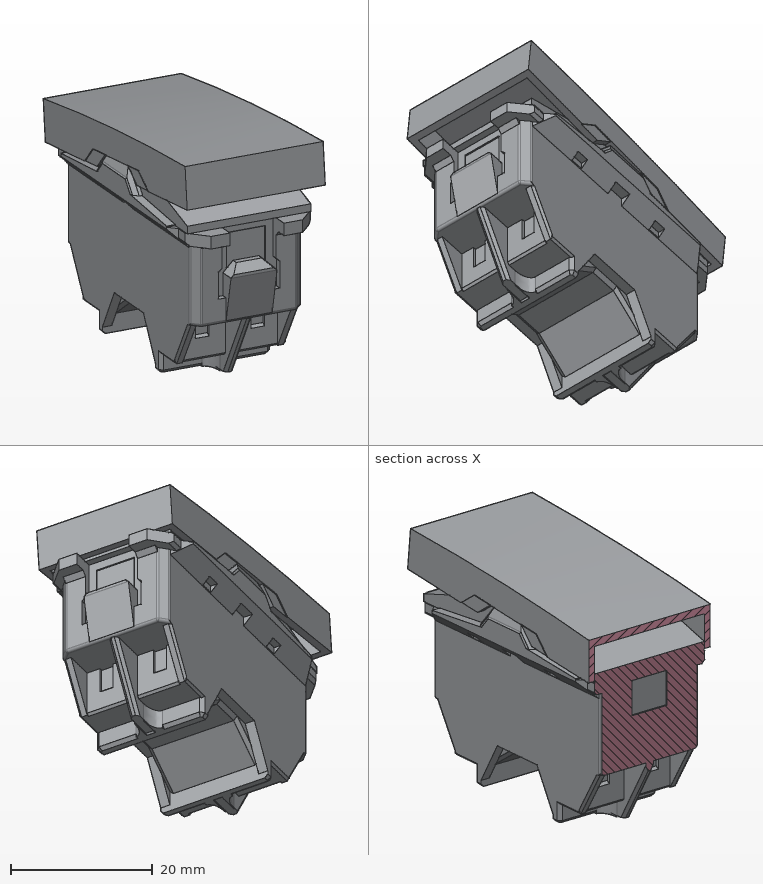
import cadquery as cq


ROCKER_LENGTH = 44.06
ROCKER_WIDTH = 21.9
ROCKER_HEIGHT = 6.4
ROCKER_CROWN = 0.55
ROCKER_TILT = 5.88
ROCKER_LOW_END_X = -21.63
ROCKER_WALL = 1.15
ROCKER_ROOF = 1.2
NOTCH_HEIGHT = 2.4
NOTCH_WIDTH = 12.4
NOTCH_SIDE_RUN = 2.75
RECESS_WIDTH = 19.65
RECESS_DEPTH = 0.15

FLANGE_LENGTH = 44.8
FLANGE_WIDTH = 22.4
FLANGE_THICKNESS = 1.9
FLANGE_END_WIDTH = 14.5
SHOULDER_OUTER_X = 19.55
SHOULDER_INNER_X = 17.6
SHOULDER_WIDTH = 19.88
SKIRT_LENGTH = 32.6
SKIRT_BASE_LENGTH = 37.2
SKIRT_LIP = 0.3
SHOULDER_BEVEL = 0.5
END_SKIRT_REACH = 0.7

BODY_LENGTH = 40.0
BODY_WIDTH = 17.6
BODY_CORNER = 1.25
BODY_ROUND = 0.45
BODY_FLOOR_Z = -14.5

SIDE_NOTCHES = [(-8.7, 2.1, -1.5, 0.1), (0, 3.1, -1.24, 0), (8.7, 2.1, -1.5, 0.1)]

BLOCK_WIDTH = ROCKER_WIDTH - 2 * ROCKER_WALL
BLOCK_END_Z = 1.16
BLOCK_TOP_Z = 4.9
BLOCK_SLOPE = 0.286
RAMP_LOW_Z = 0.17
HUMP_BASE_Z = 1.17
HUMP_FRONT_Z = 2.95
HUMP_FRONT_BASE = 5.08
HUMP_FRONT_TOP = 3.53
HUMP_BEVEL_Z = 3.2
HUMP_BEVEL_GROWTH = 0.45
HUMP_BEVEL_DEPTH = 0.15
HUMP_BACK_Z = 5.0
HUMP_GROWTH = 1.15
HUMP_DEPTH = 0.85

SLOT_WIDTH = 8.56
SLOT_WIDE_WIDTH = 9.7
SLOT_DEPTH = 1.0
SLOT_WIDEN_TOP_Z = -6.1
SLOT_WIDEN_Z = -6.65
SLOT_FLOOR_Z = -10.7
WINDOW_WIDTH = 6.16
WINDOW_TOP_Z = -1.33
WINDOW_FLOOR_Z = -6.6
WINDOW_DEPTH = 0.2
LATCH_WIDTH = 7.3
LATCH_REACH = 1.5
LATCH_NOSE_Z = -6.8
LATCH_EDGE_Z = -7.25
LATCH_FLOOR_Z = -14.15
LATCH_ROOT_Z = {-1: -6.4, 1: -5.65}

CORE_HALF_LENGTH = 14.1
CORE_FLOOR_Z = -21.8
FOOT_FLOOR_Z = -24.79
FOOT_OUTER_X = 9.65
FOOT_INNER_X = 8.2
FOOT_CORNER = 0.55
FOOT_CHAMFER = 0.5
FIN_THICKNESS = 1.25
FIN_TOP_X = 18.5
LOWER_CHAMFER = 0.35
RIB_THICKNESS = 1.44
RIB_TOP_X = 19.75
RIB_FLOOR_X = 13.9
RIB_FLOOR_Z = -24.55
RIB_CHAMFER = 0.45
RIB_FLARE_LENGTH = 2.8
RIB_FLARE_WIDTH = 1.45
POCKET_SLOT_Y = 4.4
POCKET_SLOT_WIDTH = 2.12
POCKET_SLOT_DEPTH = 0.5
POCKET_SLOT_FLOOR_Z = -18.5
POCKET_SLOT_RISE = 0.35

WALL_ARCH_TOP_Z = -17.3
WALL_ARCH_HALF_TOP = 4.5
WALL_ARCH_SHOULDER_Z = -23.75
WALL_THICKNESS = 1.5
INNER_ARCH_TOP_Z = -17.9
INNER_ARCH_HALF_TOP = 2.3
INNER_ARCH_SHOULDER_Z = -22.0
INNER_ARCH_BEVEL = WALL_ARCH_TOP_Z - INNER_ARCH_TOP_Z

SIDES = (-1, 1)


def prism_y(points, y_start, y_end):
    """Extrude an XZ outline from y_start to y_end."""
    return cq.Workplane("XZ", origin=(0, y_start, 0)).polyline(points).close().extrude(y_start - y_end)


def frustum_y(start_points, end_points, y_start, depth):
    """Ruled solid from one XZ outline to another, a given depth further along +Y."""
    return (
        cq.Workplane("XZ", origin=(0, y_start, 0))
        .polyline(start_points)
        .close()
        .workplane(offset=-depth)
        .polyline(end_points)
        .close()
        .loft(ruled=True)
    )


def block(x_start, x_end, width, z_start, z_end, y_centre=0):
    """Box between two X and two Z limits, centred across Y."""
    size = (abs(x_end - x_start), width, abs(z_end - z_start))
    centre = ((x_start + x_end) / 2, y_centre, (z_start + z_end) / 2)
    return cq.Workplane("XY").box(*size).translate(centre)


def mirrored_outline(right_points):
    """Close a symmetric outline from its right-hand points, listed from the top down."""
    return right_points + [(-across, up) for across, up in reversed(right_points)]


def both_sides(solid, plane):
    """The solid together with its mirror image."""
    return solid.union(solid.mirror(plane))



def crowned_slab(inset, width, bottom_z, top_z):
    """Slab with an arched top, inset equally from both ends of the rocker."""
    end = ROCKER_LENGTH - inset
    return (
        cq.Workplane("XZ", origin=(0, width / 2, 0))
        .moveTo(inset, bottom_z)
        .lineTo(end, bottom_z)
        .lineTo(end, top_z)
        .threePointArc((ROCKER_LENGTH / 2, top_z + ROCKER_CROWN), (inset, top_z))
        .close()
        .extrude(width)
    )


def notch_outline(width):
    """Trapezoid open at the lower edge of the rocker wall, halfway along the rocker."""
    start = (ROCKER_LENGTH - width) / 2
    end = start + width
    return [
        (start, 0),
        (start + NOTCH_SIDE_RUN, NOTCH_HEIGHT),
        (end - NOTCH_SIDE_RUN, NOTCH_HEIGHT),
        (end, 0),
    ]


def make_rocker():
    rocker = crowned_slab(0, ROCKER_WIDTH, 0, ROCKER_HEIGHT)
    rocker = rocker.cut(crowned_slab(ROCKER_WALL, BLOCK_WIDTH, 0, ROCKER_HEIGHT - ROCKER_ROOF))
    half_width = ROCKER_WIDTH / 2
    rocker = rocker.cut(prism_y(notch_outline(NOTCH_WIDTH), -half_width, half_width))
    for side in SIDES:
        recess = prism_y(notch_outline(RECESS_WIDTH), side * half_width, side * (half_width - RECESS_DEPTH))
        rocker = rocker.cut(recess)
    tilted = rocker.rotate((0, 0, 0), (0, 1, 0), -ROCKER_TILT)
    return tilted.translate((ROCKER_LOW_END_X, 0, 0))



def make_flange():
    """End tabs, 45 degree skirts along the long sides and short skirts at the ends."""
    end_x = FLANGE_LENGTH / 2
    quarter = [
        (SHOULDER_OUTER_X, SHOULDER_WIDTH / 2),
        (end_x, FLANGE_END_WIDTH / 2),
    ]
    right = quarter + [(x, -y) for x, y in reversed(quarter)]
    outline = right + [(-x, -y) for x, y in right]
    flange = cq.Workplane("XY").polyline(outline).close().extrude(-FLANGE_THICKNESS)
    flange = flange.faces("<Z").edges("|X").chamfer(SHOULDER_BEVEL)

    wide_y = FLANGE_WIDTH / 2
    wall_y = BODY_WIDTH / 2
    drop = SKIRT_LIP + wide_y - wall_y
    wedge = (
        cq.Workplane("YZ", origin=(-BODY_LENGTH / 2, 0, 0))
        .polyline([(0, 0), (wide_y, 0), (wide_y, -SKIRT_LIP), (wall_y, -drop), (0, -drop)])
        .close()
        .extrude(BODY_LENGTH)
    )
    skirt_x = SKIRT_LENGTH / 2
    base_x = SKIRT_BASE_LENGTH / 2
    plan = mirrored_outline([(skirt_x, wide_y), (base_x, wall_y), (base_x, 0)])
    skirt = wedge.intersect(cq.Workplane("XY").polyline(plan).close().extrude(-drop))
    flange = flange.union(both_sides(skirt, "XZ"))

    body_x = BODY_LENGTH / 2
    end_wedge = [
        (body_x, -FLANGE_THICKNESS),
        (body_x + END_SKIRT_REACH, -FLANGE_THICKNESS),
        (body_x, -FLANGE_THICKNESS - END_SKIRT_REACH),
        (SHOULDER_INNER_X, -FLANGE_THICKNESS - END_SKIRT_REACH),
        (SHOULDER_INNER_X, -FLANGE_THICKNESS),
    ]
    end_y = wall_y - BODY_CORNER
    return flange.union(both_sides(prism_y(end_wedge, -end_y, end_y), "YZ"))


def cut_side_notches(housing):
    """Notches in the long skirts, reaching back to the body wall or close to it."""
    skirt_depth = (FLANGE_WIDTH - BODY_WIDTH) / 2
    skirt_floor_z = -SKIRT_LIP - skirt_depth
    for x, width, top_z, standoff in SIDE_NOTCHES:
        depth = skirt_depth - standoff
        for side in SIDES:
            y = side * (FLANGE_WIDTH - depth) / 2
            housing = housing.cut(block(x - width / 2, x + width / 2, depth, skirt_floor_z, top_z, y))
    return housing


def make_inner_block():
    """Roof-shaped block that stands inside the rocker."""
    end_x = BODY_LENGTH / 2
    top_x = end_x - (BLOCK_TOP_Z - BLOCK_END_Z) / BLOCK_SLOPE
    outline = mirrored_outline([(top_x, BLOCK_TOP_Z), (end_x, BLOCK_END_Z), (end_x, 0)])
    return prism_y(outline, -BLOCK_WIDTH / 2, BLOCK_WIDTH / 2)


def hump_outline(growth, top_z):
    """Trapezoid with the hump's side slope, its base widened by growth at both ends."""
    side_run = (HUMP_FRONT_BASE - HUMP_FRONT_TOP) / (HUMP_FRONT_Z - HUMP_BASE_Z)
    base = HUMP_FRONT_BASE + growth
    top = base - side_run * (top_z - HUMP_BASE_Z)
    return mirrored_outline([(top, top_z), (base, HUMP_BASE_Z)])


def make_collars(rocker):
    """Low ramps and a bevelled hump on each long side; the humps fit the rocker notches."""
    outer_y = FLANGE_WIDTH / 2
    ramp = mirrored_outline([
        (HUMP_FRONT_BASE, HUMP_BASE_Z),
        (SKIRT_LENGTH / 2, RAMP_LOW_Z),
        (SKIRT_LENGTH / 2, 0),
    ])
    collar = prism_y(ramp, -outer_y, -BLOCK_WIDTH / 2)

    front = hump_outline(0, HUMP_FRONT_Z)
    middle = hump_outline(HUMP_BEVEL_GROWTH, HUMP_BEVEL_Z)
    back = hump_outline(HUMP_GROWTH, HUMP_BACK_Z)
    hump = frustum_y(front, middle, -outer_y, HUMP_BEVEL_DEPTH)
    hump = hump.union(frustum_y(middle, back, -outer_y + HUMP_BEVEL_DEPTH, HUMP_DEPTH - HUMP_BEVEL_DEPTH))
    hump = hump.union(prism_y(back, -outer_y + HUMP_DEPTH, -BLOCK_WIDTH / 2))
    return both_sides(collar.union(hump), "XZ").cut(rocker)


def make_end_slot():
    """Stepped recess in the -X end wall, with a shallow window in its floor."""
    floor_x = -BODY_LENGTH / 2 + SLOT_DEPTH
    half = SLOT_WIDTH / 2
    wide = SLOT_WIDE_WIDTH / 2
    right = [(half, 0), (half, SLOT_WIDEN_TOP_Z), (wide, SLOT_WIDEN_Z), (wide, SLOT_FLOOR_Z)]
    slot = (
        cq.Workplane("YZ", origin=(floor_x, 0, 0))
        .polyline(mirrored_outline(right))
        .close()
        .extrude(-FLANGE_LENGTH / 2 - floor_x)
    )
    window = block(floor_x, floor_x + WINDOW_DEPTH, WINDOW_WIDTH, WINDOW_FLOOR_Z, WINDOW_TOP_Z)
    return slot.union(window)


def make_latch(side):
    """Wedge-shaped snap latch with bevelled upper corners."""
    body_x = BODY_LENGTH / 2
    inner_x = body_x - SLOT_DEPTH
    nose_x = body_x + LATCH_REACH
    root_z = LATCH_ROOT_Z[side]
    outline = [
        (side * inner_x, root_z),
        (side * body_x, root_z),
        (side * nose_x, LATCH_NOSE_Z),
        (side * nose_x, LATCH_EDGE_Z),
        (side * body_x, LATCH_FLOOR_Z),
        (side * inner_x, LATCH_FLOOR_Z),
    ]
    latch = prism_y(outline, -LATCH_WIDTH / 2, LATCH_WIDTH / 2)
    half = LATCH_WIDTH / 2
    bevelled = mirrored_outline([
        (half - (root_z - LATCH_EDGE_Z), root_z),
        (half, LATCH_EDGE_Z),
        (half, LATCH_FLOOR_Z),
    ])
    envelope = cq.Workplane("YZ").polyline(bevelled).close().extrude(side * nose_x)
    return latch.intersect(envelope)


def make_underside():
    """Core with fins along the walls, a middle rib at each end and two feet."""
    wall_y = BODY_WIDTH / 2
    core = block(-CORE_HALF_LENGTH, CORE_HALF_LENGTH, BODY_WIDTH, CORE_FLOOR_Z, BODY_FLOOR_Z)
    core = core.faces("<Z").edges().chamfer(LOWER_CHAMFER)
    feet = block(-FOOT_OUTER_X, FOOT_OUTER_X, BODY_WIDTH, FOOT_FLOOR_Z, CORE_FLOOR_Z + LOWER_CHAMFER)
    feet = feet.edges("|Z").chamfer(FOOT_CORNER)
    feet = feet.faces("<Z").edges().chamfer(FOOT_CHAMFER)

    fin_outline = mirrored_outline([(FIN_TOP_X, BODY_FLOOR_Z), (CORE_HALF_LENGTH, CORE_FLOOR_Z)])
    fin = prism_y(fin_outline, -wall_y, -wall_y + FIN_THICKNESS)
    fin = fin.faces("<Y").edges("not(>Z)").chamfer(LOWER_CHAMFER)

    rib_outline = mirrored_outline([(RIB_TOP_X, BODY_FLOOR_Z), (RIB_FLOOR_X, RIB_FLOOR_Z)])
    rib = prism_y(rib_outline, -RIB_THICKNESS / 2, RIB_THICKNESS / 2)
    rib = rib.faces("<Y or >Y").edges("not(|X)").chamfer(RIB_CHAMFER)

    underside = core.union(feet).union(both_sides(fin, "XZ")).union(rib)
    return underside.union(make_rib_flares())


def make_rib_flares():
    """Webs with a concave elliptical face where each rib meets its foot."""
    size = (RIB_FLARE_LENGTH, RIB_FLARE_WIDTH)
    rib_y = RIB_THICKNESS / 2
    height = CORE_FLOOR_Z + LOWER_CHAMFER - FOOT_FLOOR_Z
    corner = cq.Workplane("XY", origin=(FOOT_OUTER_X, rib_y, FOOT_FLOOR_Z))
    web = corner.rect(*size, centered=False).extrude(height)
    web = web.union(web.translate((-FOOT_CHAMFER, 0, 0)))
    web = web.cut(corner.center(*size).ellipse(*size).extrude(height))
    return both_sides(both_sides(web, "XZ"), "YZ")


def make_pocket_slots():
    """Shallow slots with sloping floors in the end faces of the core."""
    face_x = CORE_HALF_LENGTH
    floor_x = face_x - POCKET_SLOT_DEPTH
    outline = [
        (floor_x, BODY_FLOOR_Z),
        (floor_x, POCKET_SLOT_FLOOR_Z + POCKET_SLOT_RISE),
        (face_x, POCKET_SLOT_FLOOR_Z),
        (face_x, BODY_FLOOR_Z),
    ]
    half = POCKET_SLOT_WIDTH / 2
    slot = prism_y(outline, POCKET_SLOT_Y - half, POCKET_SLOT_Y + half)
    return both_sides(both_sides(slot, "XZ"), "YZ")


def arch_outline(half_top, top_z, shoulder_z):
    """Trapezoidal opening between the feet, straight-sided below its shoulders."""
    return mirrored_outline([(half_top, top_z), (FOOT_INNER_X, shoulder_z), (FOOT_INNER_X, FOOT_FLOOR_Z)])


def make_arch():
    """Opening between the feet: a high arch in the outer walls, a lower bevelled one inside."""
    wall_y = BODY_WIDTH / 2
    inner_y = wall_y - WALL_THICKNESS
    wall_outline = arch_outline(WALL_ARCH_HALF_TOP, WALL_ARCH_TOP_Z, WALL_ARCH_SHOULDER_Z)
    inner_outline = arch_outline(INNER_ARCH_HALF_TOP, INNER_ARCH_TOP_Z, INNER_ARCH_SHOULDER_Z)
    raised_outline = arch_outline(
        INNER_ARCH_HALF_TOP, WALL_ARCH_TOP_Z, INNER_ARCH_SHOULDER_Z + INNER_ARCH_BEVEL
    )
    bevel = frustum_y(raised_outline, inner_outline, -inner_y, INNER_ARCH_BEVEL)
    outer = prism_y(wall_outline, -wall_y, -inner_y).union(bevel)
    return both_sides(outer, "XZ").union(prism_y(inner_outline, -inner_y, inner_y))


def make_housing(rocker):
    body = block(-BODY_LENGTH / 2, BODY_LENGTH / 2, BODY_WIDTH, BODY_FLOOR_Z, 0)
    body = body.edges("|Z").chamfer(BODY_CORNER)
    body = body.edges("|Z or (<Z and (not |X))").fillet(BODY_ROUND)
    housing = cut_side_notches(body.union(make_flange()))
    housing = housing.cut(both_sides(make_end_slot(), "YZ"))
    housing = housing.union(make_underside()).cut(make_arch()).cut(make_pocket_slots())
    for side in SIDES:
        housing = housing.union(make_latch(side))
    return housing.union(make_inner_block()).union(make_collars(rocker))


rocker = make_rocker()
housing = make_housing(rocker)

result = cq.Compound.makeCompound([rocker.val(), housing.val()])